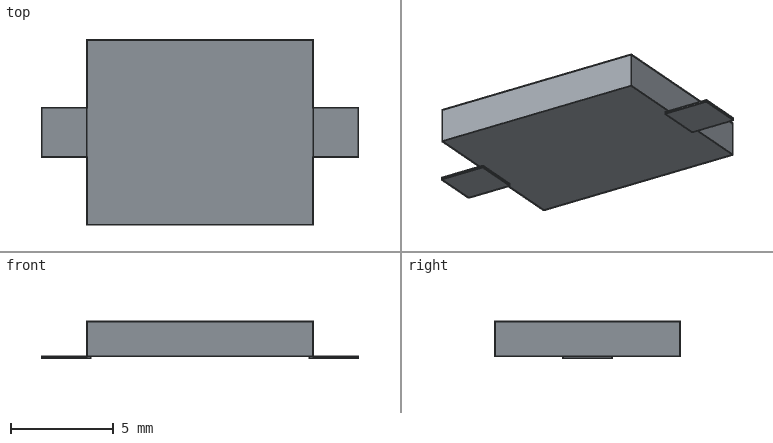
import cadquery as cq

body_length = 11.0
body_width = 9.0
body_height = 1.7

lead_size = 2.4
lead_thickness = 0.1
lead_overlap = 0.2


def make_body():
    """Plain rectangular block that rests on top of the leads."""
    return (
        cq.Workplane("XY")
        .workplane(offset=lead_thickness)
        .rect(body_length, body_width)
        .extrude(body_height)
    )


def make_lead(side):
    """Flat lead at one end of the body: side is -1 for the -X end, +1 for the +X end."""
    center_x = side * (body_length / 2 - lead_overlap + lead_size / 2)
    return (
        cq.Workplane("XY")
        .center(center_x, 0)
        .rect(lead_size, lead_size)
        .extrude(lead_thickness)
    )


body = make_body()
leads = [make_lead(side) for side in (-1, 1)]

result = cq.Compound.makeCompound([body.val(), *[lead.val() for lead in leads]])